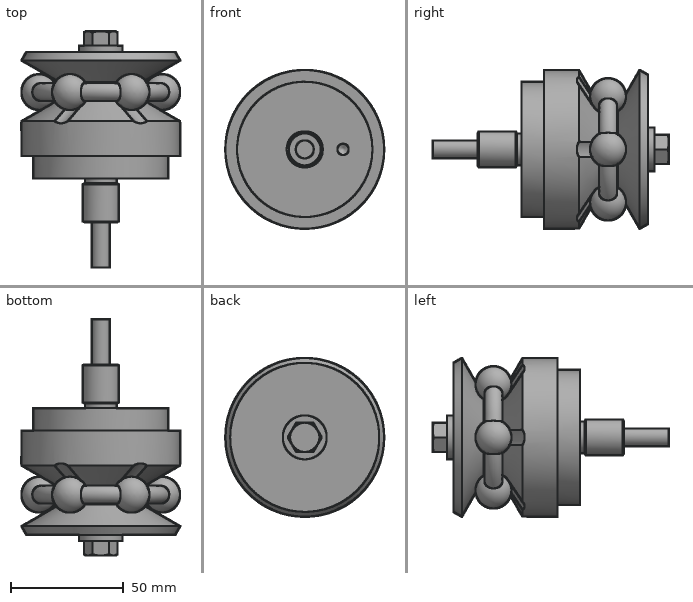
import cadquery as cq
import math


BALL_COUNT = 6
BALL_RADIUS = 8.0
CHAIN_RADIUS = 27.25
LINK_RADIUS = 4.0
CHAIN_Y = 38.4

WHEEL_RADIUS = CHAIN_RADIUS + BALL_RADIUS
BOSS_RADIUS = 30.0
BOSS_LENGTH = 10.0
DRUM_LENGTH = 15.5
GROOVE_OPENING = 26.9
GROOVE_FLOOR_WIDTH = 7.7
CONE_ANGLE = math.radians(30)
DISC_EDGE_LENGTH = 3.8

GROOVE_DEPTH = (GROOVE_OPENING - GROOVE_FLOOR_WIDTH) / 2 / math.tan(CONE_ANGLE)
GROOVE_FLOOR_RADIUS = WHEEL_RADIUS - GROOVE_DEPTH
DRUM_EDGE_Y = BOSS_LENGTH + DRUM_LENGTH
GROOVE_MIDDLE_Y = DRUM_EDGE_Y + GROOVE_OPENING / 2
DISC_EDGE_Y = DRUM_EDGE_Y + GROOVE_OPENING
WHEEL_BACK_Y = DISC_EDGE_Y + DISC_EDGE_LENGTH
DISC_BACK_RADIUS = WHEEL_RADIUS - DISC_EDGE_LENGTH * math.tan(CONE_ANGLE)

POCKET_LENGTH = 20.0

PIN_HOLE_RADIUS = 2.5
PIN_HOLE_X = 17.0
PIN_HOLE_DEPTH = 10.0
DRILL_POINT_ANGLE = math.radians(118)

NECK_RADIUS = 7.1
NECK_LENGTH = 2.0
COLLAR_RADIUS = 8.0
COLLAR_LENGTH = 17.4
COLLAR_CHAMFER_ANGLE = math.radians(30)
SHAFT_RADIUS = 4.0
SHAFT_LENGTH = 20.0

COLLAR_CHAMFER = (COLLAR_RADIUS - NECK_RADIUS) * math.tan(COLLAR_CHAMFER_ANGLE)
COLLAR_BACK_Y = -NECK_LENGTH
COLLAR_FRONT_Y = COLLAR_BACK_Y - COLLAR_LENGTH
SHAFT_END_Y = COLLAR_FRONT_Y - SHAFT_LENGTH

FLANGE_RADIUS = 9.75
FLANGE_LENGTH = 2.8
HEX_ACROSS_FLATS = 13.0
HEX_LENGTH = 6.4
HEX_CHAMFER_ANGLE = math.radians(30)
SHANK_RADIUS = 4.0
SHANK_LENGTH = 20.0


def revolve_about_y(profile):
    """Turn a closed (radius, Y) profile around the Y axis."""
    return profile.revolve(360, (0, 0, 0), (0, 1, 0))


def cylinder_along_y(radius, start_y, length):
    start = cq.Vector(0, start_y, 0)
    return cq.Workplane(cq.Solid.makeCylinder(radius, length, start, cq.Vector(0, 1, 0)))


def ball_angles():
    return [360.0 * i / BALL_COUNT for i in range(BALL_COUNT)]


def spin_to(body, angle):
    return body.rotate((0, 0, 0), (0, 1, 0), angle)


def make_ball():
    """Ball on the +X side of the ring."""
    return cq.Workplane("XY").sphere(BALL_RADIUS).translate((CHAIN_RADIUS, CHAIN_Y, 0))


def make_chain():
    """Closed ring of round links with evenly spaced balls on it."""
    ring = revolve_about_y(cq.Workplane("XY").moveTo(CHAIN_RADIUS, CHAIN_Y).circle(LINK_RADIUS))
    for angle in ball_angles():
        ring = ring.union(spin_to(make_ball(), angle))
    return ring


def make_pocket():
    """Ball seat that runs outward along the slope of the drum's cone."""
    outward = cq.Vector(math.cos(CONE_ANGLE), -math.sin(CONE_ANGLE), 0)
    centre = cq.Vector(CHAIN_RADIUS, CHAIN_Y, 0)
    channel = cq.Workplane(cq.Solid.makeCylinder(BALL_RADIUS, POCKET_LENGTH, centre, outward))
    return make_ball().union(channel)


def make_pin_hole():
    """Blind drilled hole in the boss face, ending in a drill point."""
    point_length = PIN_HOLE_RADIUS / math.tan(DRILL_POINT_ANGLE / 2)
    drill = revolve_about_y(
        cq.Workplane("XY").polyline([
            (0, 0),
            (PIN_HOLE_RADIUS, 0),
            (PIN_HOLE_RADIUS, PIN_HOLE_DEPTH),
            (0, PIN_HOLE_DEPTH + point_length),
        ]).close()
    )
    return drill.translate((PIN_HOLE_X, 0, 0))


def make_wheel():
    """V-groove wheel with a boss, a bore for the spindle and seats for the balls."""
    wheel = revolve_about_y(
        cq.Workplane("XY").polyline([
            (NECK_RADIUS, 0),
            (BOSS_RADIUS, 0),
            (BOSS_RADIUS, BOSS_LENGTH),
            (WHEEL_RADIUS, BOSS_LENGTH),
            (WHEEL_RADIUS, DRUM_EDGE_Y),
            (GROOVE_FLOOR_RADIUS, GROOVE_MIDDLE_Y - GROOVE_FLOOR_WIDTH / 2),
            (GROOVE_FLOOR_RADIUS, GROOVE_MIDDLE_Y + GROOVE_FLOOR_WIDTH / 2),
            (WHEEL_RADIUS, DISC_EDGE_Y),
            (DISC_BACK_RADIUS, WHEEL_BACK_Y),
            (NECK_RADIUS, WHEEL_BACK_Y),
        ]).close()
    )
    for angle in ball_angles():
        wheel = wheel.cut(spin_to(make_pocket(), angle))
    return wheel.cut(make_pin_hole())


def make_spindle():
    """Stepped spindle: core in the wheel, chamfered collar, output shaft, screw hole at the back."""
    spindle = revolve_about_y(
        cq.Workplane("XY").polyline([
            (0, SHAFT_END_Y),
            (SHAFT_RADIUS, SHAFT_END_Y),
            (SHAFT_RADIUS, COLLAR_FRONT_Y),
            (NECK_RADIUS, COLLAR_FRONT_Y),
            (COLLAR_RADIUS, COLLAR_FRONT_Y + COLLAR_CHAMFER),
            (COLLAR_RADIUS, COLLAR_BACK_Y - COLLAR_CHAMFER),
            (NECK_RADIUS, COLLAR_BACK_Y),
            (NECK_RADIUS, WHEEL_BACK_Y),
            (0, WHEEL_BACK_Y),
        ]).close()
    )
    return spindle.cut(cylinder_along_y(SHANK_RADIUS, WHEEL_BACK_Y - SHANK_LENGTH, SHANK_LENGTH))


def make_hex_head(start_y):
    """Hexagonal head with corners on the X axis, its outer corners turned off at a shallow angle."""
    across_corners = HEX_ACROSS_FLATS / math.cos(math.radians(30))
    end_y = start_y + HEX_LENGTH
    flat_radius = HEX_ACROSS_FLATS / 2
    corner_radius = across_corners / 2
    corner_drop = (corner_radius - flat_radius) * math.tan(HEX_CHAMFER_ANGLE)
    hexagon = (
        cq.Workplane("XZ", origin=(0, start_y, 0))
        .polygon(6, across_corners)
        .extrude(-HEX_LENGTH)
    )
    turned_envelope = revolve_about_y(
        cq.Workplane("XY").polyline([
            (0, start_y),
            (corner_radius, start_y),
            (corner_radius, end_y - corner_drop),
            (flat_radius, end_y),
            (0, end_y),
        ]).close()
    )
    return hexagon.intersect(turned_envelope)


def make_screw():
    """Flanged hexagon screw that clamps the wheel onto the spindle."""
    shank = cylinder_along_y(SHANK_RADIUS, WHEEL_BACK_Y - SHANK_LENGTH, SHANK_LENGTH)
    flange = cylinder_along_y(FLANGE_RADIUS, WHEEL_BACK_Y, FLANGE_LENGTH)
    head = make_hex_head(WHEEL_BACK_Y + FLANGE_LENGTH)
    return shank.union(flange).union(head)


wheel = make_wheel()
chain = make_chain()
spindle = make_spindle()
screw = make_screw()

bodies = [wheel, chain, spindle, screw]
result = cq.Compound.makeCompound([body.solids().val() for body in bodies])